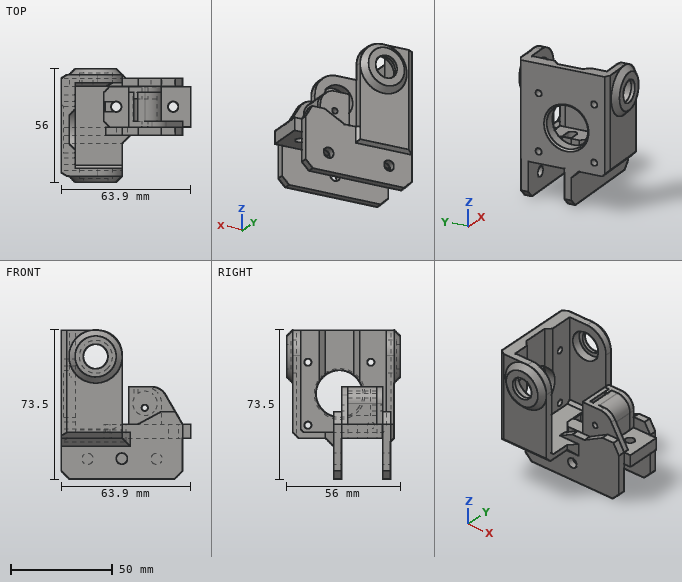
import cadquery as cq
import math

BODY_DEPTH = 30.125
BODY_TOP = 73.4
BODY_WIDTH = 50.0
FAR_Y = 15.85
NEAR_Y = FAR_Y - BODY_WIDTH
EAR_THICKNESS = 4.0
WALL_THICKNESS = 6.9
FLOOR_BOTTOM = 20.1
FLOOR_TOP = 23.0
FLOOR_EDGE_CHAMFER = 2.95
EAR_ROOT_CHAMFER_NEAR = 1.4
CORNER_CHAMFER_X = 2.85
CORNER_CHAMFER_Y = 1.7

BEARING_DIAMETER = 16.25
BEARING_DEPTH = 5.0
SHAFT_DIAMETER = 12.0
BOSS_WALL = 5.0
BOSS_RADIUS = BEARING_DIAMETER / 2 + BOSS_WALL
BOSS_HEIGHT = 3.0
BOSS_X = BODY_DEPTH - BOSS_RADIUS
BOSS_Z = 60.4
EAR_CORNER_RADIUS = 12.35

MOTOR_Y = -11.15
MOTOR_Z = 42.05
MOTOR_BORE = 23.0
MOTOR_BORE_CHAMFER = 1.0
MOTOR_SCREW_SPACING = 31.0
MOTOR_SCREW_DIAMETER = 3.4
RELIEF_DEPTH = 2.9
RELIEF_WIDTH = 19.9

PLATE_THICKNESS = 4.0
PLATE_LENGTH = 59.85
PLATE_CORNER = 4.0
GAP_CLEARANCE = 0.15
BLOCK_WIDTH = 20.0
NEAR_PLATE_INNER = -BLOCK_WIDTH / 2
FAR_PLATE_INNER = BLOCK_WIDTH / 2 + GAP_CLEARANCE
NEAR_PLATE_OUTER = NEAR_PLATE_INNER - PLATE_THICKNESS
FAR_PLATE_OUTER = FAR_PLATE_INNER + PLATE_THICKNESS
PLATE_STEP_Z = 27.05
PLATE_PEAK_Z = 33.2
PLATE_RAMP_START_X = 22.0
PLATE_PEAK_RAMP_X = (37.9, 49.3)
END_SLOPE = math.radians(60)
GUSSET_NEAR = 4.0
GUSSET_FAR = FAR_Y - FAR_PLATE_OUTER
CLAMP_HOLE_DIAMETER = 5.5
CLAMP_HOLE_X = PLATE_LENGTH / 2
CLAMP_HOLE_Z = 10.1
CLAMP_HOLE_OFFSET = 17.0

BLOCK_START_X = 21.1
BLOCK_END_X = 63.88
BLOCK_TOP = PLATE_STEP_Z
BLOCK_CORNER = 2.85
BOLT_DIAMETER = 5.0
BOLT_X = (27.15, 55.2)
BOLT_Y = GAP_CLEARANCE / 2
BOLT_SLOT_START_X = 21.65

HOUSING_START_X = 33.2
HOUSING_TOP = 45.55
HOUSING_RADIUS = BEARING_DIAMETER / 2
HOUSING_AXIS_X = 41.22
HOUSING_AXIS_Z = HOUSING_TOP - HOUSING_RADIUS
HOUSING_END_Y = 7.15
FRONT_WALL = 3.0
FRONT_WALL_RADIUS = 8.0
CHAMBER_DIAMETER = 12.0
CHAMBER_START_Y = -BLOCK_WIDTH / 2 + FRONT_WALL
SCREW_DIAMETER = 3.0
SCREW_Z = 35.1
KEY_SLOT_X = (35.8, 37.7)

CAP_OUTER_Y = FAR_PLATE_INNER
PLUG_LENGTH = 3.1


def box(x0, x1, y0, y1, z0, z1):
    """Axis-aligned box between the given limits."""
    return cq.Workplane("XY").box(x1 - x0, y1 - y0, z1 - z0, centered=False).translate((x0, y0, z0))


def cylinder_y(diameter, x, z, y0, y1):
    """Cylinder along Y between two Y positions."""
    return (cq.Workplane("XZ", origin=(0, y0, 0)).center(x, z)
            .circle(diameter / 2).extrude(-(y1 - y0)))


def end_slope_x(z):
    """X of the 60 degree slope at the +X end, at height z."""
    return PLATE_LENGTH - (z - PLATE_STEP_Z) / math.tan(END_SLOPE)


def channel():
    """Motor wall, floor and two ears as one U-shaped channel."""
    body = box(0, BODY_DEPTH, NEAR_Y, FAR_Y, FLOOR_BOTTOM, BODY_TOP)
    inner_near = NEAR_Y + EAR_THICKNESS
    inner_far = FAR_Y - EAR_THICKNESS
    far_wedge = inner_far - FAR_PLATE_INNER
    pocket = (
        cq.Workplane("YZ", origin=(WALL_THICKNESS, 0, 0))
        .moveTo(inner_near, BODY_TOP)
        .lineTo(inner_near, FLOOR_TOP + EAR_ROOT_CHAMFER_NEAR)
        .lineTo(inner_near + EAR_ROOT_CHAMFER_NEAR, FLOOR_TOP)
        .lineTo(FAR_PLATE_INNER, FLOOR_TOP)
        .lineTo(inner_far, FLOOR_TOP + far_wedge)
        .lineTo(inner_far, BODY_TOP)
        .close()
        .extrude(BODY_DEPTH)
    )
    body = body.edges("|Y and >X and >Z").fillet(EAR_CORNER_RADIUS)
    body = body.edges("|X and <Y and <Z").chamfer(FLOOR_EDGE_CHAMFER)
    return body.cut(pocket)


def side_plate(y0):
    """One side plate, PLATE_THICKNESS thick, starting at y0."""
    return (
        cq.Workplane("XZ", origin=(0, y0, 0))
        .polyline([
            (0, PLATE_CORNER),
            (PLATE_CORNER, 0),
            (PLATE_LENGTH - PLATE_CORNER, 0),
            (PLATE_LENGTH, PLATE_CORNER),
            (PLATE_LENGTH, PLATE_STEP_Z),
            (end_slope_x(PLATE_PEAK_Z), PLATE_PEAK_Z),
            (PLATE_PEAK_RAMP_X[1], PLATE_PEAK_Z),
            (PLATE_PEAK_RAMP_X[0], PLATE_STEP_Z),
            (BODY_DEPTH, PLATE_STEP_Z),
            (PLATE_RAMP_START_X, FLOOR_TOP),
            (0, FLOOR_TOP),
        ])
        .close()
        .extrude(-PLATE_THICKNESS)
    )


def gusset(plate_y, size, outward, top):
    """45 degree gusset on a plate's outer face, below and beside the ear that overhangs it."""
    root_x = BODY_DEPTH + size
    root_z = FLOOR_BOTTOM - size
    return (
        cq.Workplane("XZ", origin=(0, plate_y, 0))
        .polyline([(0, root_z), (root_x, root_z), (root_x, top), (0, top)])
        .close()
        .workplane(offset=-outward * size)
        .polyline([(0, FLOOR_BOTTOM), (BODY_DEPTH, FLOOR_BOTTOM), (BODY_DEPTH, top), (0, top)])
        .close()
        .loft(ruled=True)
    )


def boss(ear_y, outward):
    """Conical bearing boss standing on an ear's outer face."""
    return (
        cq.Workplane("XZ", origin=(0, ear_y, 0))
        .center(BOSS_X, BOSS_Z)
        .circle(BOSS_RADIUS)
        .workplane(offset=-outward * BOSS_HEIGHT)
        .circle(BOSS_RADIUS - BOSS_HEIGHT)
        .loft()
    )


def corner_cut(y, inward):
    """Prism that bevels a vertical corner of the motor face."""
    return (
        cq.Workplane("XY", origin=(0, 0, FLOOR_BOTTOM - GUSSET_FAR))
        .polyline([(0, y), (CORNER_CHAMFER_X, y), (0, y + inward * CORNER_CHAMFER_Y)])
        .close()
        .extrude(BODY_TOP)
    )


def motor_face_cuts():
    """Centring bore, its chamfer, four screw holes and the relief above the bore."""
    face = cq.Workplane("YZ", origin=(0, MOTOR_Y, MOTOR_Z))
    bore = face.circle(MOTOR_BORE / 2).extrude(WALL_THICKNESS)
    mouth = (
        face.circle(MOTOR_BORE / 2 + MOTOR_BORE_CHAMFER)
        .workplane(offset=MOTOR_BORE_CHAMFER)
        .circle(MOTOR_BORE / 2)
        .loft()
    )
    screws = (
        face.rect(MOTOR_SCREW_SPACING, MOTOR_SCREW_SPACING, forConstruction=True)
        .vertices()
        .circle(MOTOR_SCREW_DIAMETER / 2)
        .extrude(WALL_THICKNESS)
    )
    half = RELIEF_WIDTH / 2
    relief = (
        cq.Workplane("XY", origin=(WALL_THICKNESS, MOTOR_Y, MOTOR_Z))
        .polyline([
            (0, half),
            (-RELIEF_DEPTH, half - RELIEF_DEPTH),
            (-RELIEF_DEPTH, RELIEF_DEPTH - half),
            (0, -half),
        ])
        .close()
        .extrude(BODY_TOP - MOTOR_Z)
    )
    return [bore, mouth, screws, relief]


def bearing_cuts():
    """Shaft hole through both bosses and a bearing seat from the inside of each ear."""
    inner_near = NEAR_Y + EAR_THICKNESS
    inner_far = FAR_Y - EAR_THICKNESS
    return [
        cylinder_y(SHAFT_DIAMETER, BOSS_X, BOSS_Z, NEAR_Y - BOSS_HEIGHT, FAR_Y + BOSS_HEIGHT),
        cylinder_y(BEARING_DIAMETER, BOSS_X, BOSS_Z, inner_near - BEARING_DEPTH, inner_far + BEARING_DEPTH),
    ]


def clamp_holes():
    """Screw holes through the side plates, staggered so that none face each other."""
    holes = [cylinder_y(CLAMP_HOLE_DIAMETER, CLAMP_HOLE_X, CLAMP_HOLE_Z, NEAR_PLATE_OUTER, NEAR_PLATE_INNER)]
    for x in (CLAMP_HOLE_X - CLAMP_HOLE_OFFSET, CLAMP_HOLE_X + CLAMP_HOLE_OFFSET):
        holes.append(cylinder_y(CLAMP_HOLE_DIAMETER, x, CLAMP_HOLE_Z, FAR_PLATE_INNER, FAR_PLATE_OUTER))
    return holes


def block_slab():
    """Slide block without its housing: bevelled leading corners, flat ends."""
    return (
        box(BLOCK_START_X, BLOCK_END_X, -BLOCK_WIDTH / 2, BLOCK_WIDTH / 2, FLOOR_BOTTOM, BLOCK_TOP)
        .edges("|Z and <X")
        .chamfer(BLOCK_CORNER)
    )


def make_bracket():
    bracket = channel()
    bracket = bracket.union(side_plate(NEAR_PLATE_OUTER)).union(side_plate(FAR_PLATE_INNER))
    bracket = bracket.union(gusset(NEAR_PLATE_OUTER, GUSSET_NEAR, -1, FLOOR_TOP))
    bracket = bracket.union(gusset(FAR_PLATE_OUTER, GUSSET_FAR, 1, PLATE_STEP_Z))
    bracket = bracket.union(boss(NEAR_Y, -1)).union(boss(FAR_Y, 1))
    cuts = [corner_cut(NEAR_Y, 1), corner_cut(FAR_Y, -1)]
    cuts += motor_face_cuts() + bearing_cuts()
    cuts += clamp_holes() + [block_slab()]
    for cut in cuts:
        bracket = bracket.cut(cut)
    return bracket


def housing_profile(y0, y1):
    """Housing section: flat top and one corner rounded, between two Y positions."""
    end_x = HOUSING_AXIS_X + HOUSING_RADIUS
    return (
        box(HOUSING_START_X, end_x, y0, y1, BLOCK_TOP, HOUSING_TOP)
        .edges("|Y and >X and >Z")
        .fillet(HOUSING_RADIUS)
    )


def front_wall():
    """Longer -Y wall of the housing, sloping down to the end of the side plates."""
    y0 = -BLOCK_WIDTH / 2
    return (
        cq.Workplane("XZ", origin=(0, y0, 0))
        .polyline([
            (HOUSING_START_X, BLOCK_TOP),
            (PLATE_LENGTH, BLOCK_TOP),
            (end_slope_x(HOUSING_TOP), HOUSING_TOP),
            (HOUSING_START_X, HOUSING_TOP),
        ])
        .close()
        .extrude(-FRONT_WALL)
        .edges("|Y and >Z")
        .edges(">X")
        .fillet(FRONT_WALL_RADIUS)
    )


def key_prism(y0, y1):
    """Narrow vertical key from the chamber axis up to the housing top."""
    return box(*KEY_SLOT_X, y0, y1, HOUSING_AXIS_Z, HOUSING_TOP)


def make_block():
    block = block_slab().union(housing_profile(CHAMBER_START_Y, HOUSING_END_Y)).union(front_wall())
    for x in BOLT_X:
        block = block.cut(cq.Workplane("XY").center(x, BOLT_Y).circle(BOLT_DIAMETER / 2).extrude(BLOCK_TOP))
    slot_y0 = BOLT_Y - BOLT_DIAMETER / 2
    slot_y1 = slot_y0 + BOLT_DIAMETER
    bolt_slot = box(BOLT_SLOT_START_X, BOLT_X[0], slot_y0, slot_y1, FLOOR_TOP, BLOCK_TOP)
    chamber = cylinder_y(CHAMBER_DIAMETER, HOUSING_AXIS_X, HOUSING_AXIS_Z, CHAMBER_START_Y, HOUSING_END_Y)
    block = block.cut(bolt_slot).cut(chamber)
    block = block.cut(key_prism(CHAMBER_START_Y, HOUSING_END_Y))
    return block.cut(cylinder_y(SCREW_DIAMETER, HOUSING_AXIS_X, SCREW_Z, -BLOCK_WIDTH / 2, HOUSING_END_Y))


def make_cap():
    plug_y = HOUSING_END_Y - PLUG_LENGTH
    cap = housing_profile(HOUSING_END_Y, CAP_OUTER_Y)
    cap = cap.union(cylinder_y(CHAMBER_DIAMETER, HOUSING_AXIS_X, HOUSING_AXIS_Z, plug_y, HOUSING_END_Y))
    cap = cap.union(key_prism(plug_y, HOUSING_END_Y))
    return cap.cut(cylinder_y(SCREW_DIAMETER, HOUSING_AXIS_X, SCREW_Z, plug_y, CAP_OUTER_Y))


bracket = make_bracket()
block = make_block()
cap = make_cap()
result = cq.Compound.makeCompound([bracket.val(), block.val(), cap.val()])